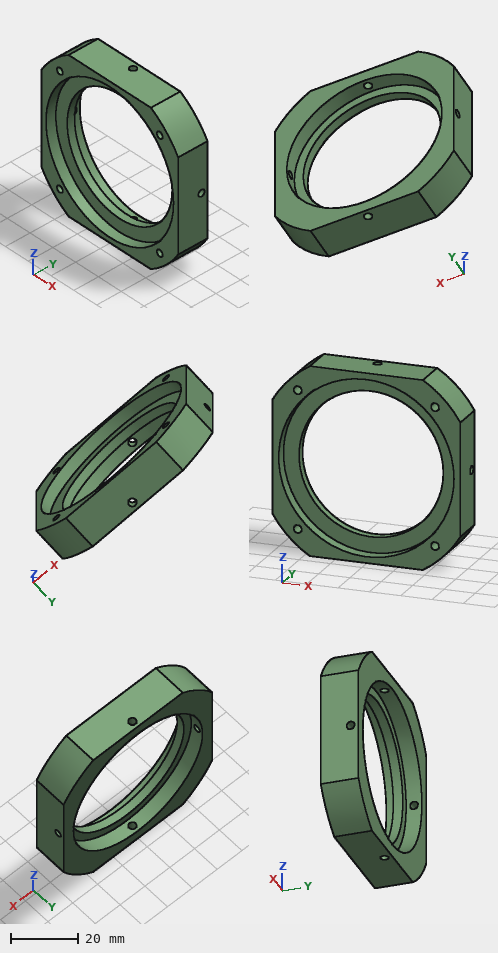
import cadquery as cq

side = 60.0
thickness = 12.0
corner_diameter = 70.0
bore_diameter = 46.0
front_recess_diameter = 56.0
front_recess_depth = 4.0
back_recess_diameter = 52.0
back_recess_depth = 5.0
hole_diameter = 2.5
face_hole_circle_diameter = 62.0
face_hole_depth = 6.0

front_y = -thickness / 2
back_y = thickness / 2


def cylinder_along_y(diameter, start_y, length):
    """Cylinder on the ring axis from start_y, towards +Y for a positive length."""
    start_plane = cq.Workplane("XZ", origin=(0, start_y, 0))
    return start_plane.circle(diameter / 2).extrude(-length)


def body():
    """Square plate whose corners are rounded by one large circle."""
    plate = cq.Workplane("XY").box(side, thickness, side)
    return plate.intersect(cylinder_along_y(corner_diameter, front_y, thickness))


def face_holes():
    """Four blind holes in the front face, one near each corner."""
    return (
        cq.Workplane("XZ", origin=(0, front_y, 0))
        .polarArray(face_hole_circle_diameter / 2, 45, 360, 4)
        .circle(hole_diameter / 2)
        .extrude(-face_hole_depth)
    )


def radial_hole(plane_name):
    """Hole across the whole ring, square to the named plane and midway along the back recess."""
    hole_y = back_y - back_recess_depth / 2
    plane = cq.Workplane(plane_name, origin=(0, hole_y, 0))
    return plane.circle(hole_diameter / 2).extrude(side / 2, both=True)


result = (
    body()
    .cut(cylinder_along_y(bore_diameter, front_y, thickness))
    .cut(cylinder_along_y(front_recess_diameter, front_y, front_recess_depth))
    .cut(cylinder_along_y(back_recess_diameter, back_y, -back_recess_depth))
    .cut(face_holes())
)
for plane_name in ("XY", "YZ"):
    result = result.cut(radial_hole(plane_name))